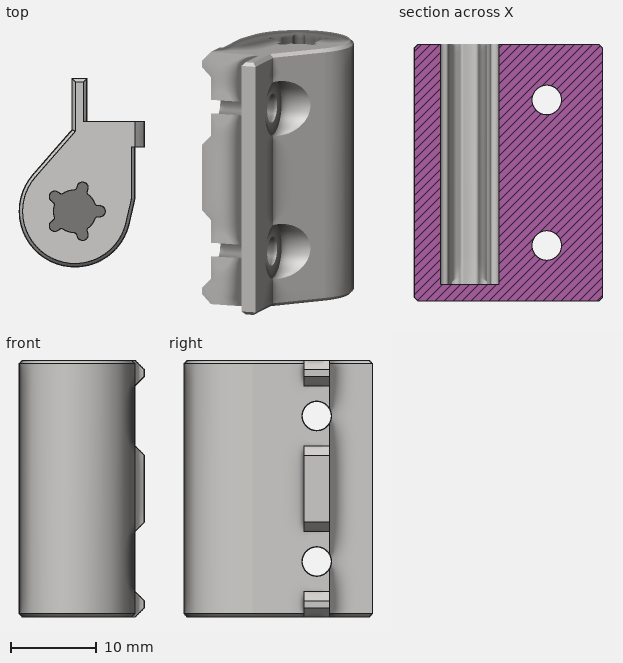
import cadquery as cq
import math

height = 30.0
edge_chamfer = 0.4

barrel_radius = 6.51
body_right = 7.02
body_back = 10.5
flank_start_y = 1.5

flange_left = -0.34
flange_thickness = 1.75
flange_right = flange_left + flange_thickness
flange_back = 15.51
flange_foot_y = 9.5

tooth_front = 7.5
tooth_depth = body_back - tooth_front
tooth_projection = 1.09
end_tooth_length = 3.0
middle_tooth_length = 10.0

screw_hole_diameter = 3.4
counterbore_diameter = 6.5
counterbore_depth = 0.3
counterbore_floor_x = flange_left + counterbore_depth
screw_y = 9.0
screw_spacing = 17.0

bore_floor = 2.0
bore_depth = height - bore_floor
bore_radius = 2.5
lobe_count = 5
lobe_center_radius = 2.9
lobe_radius = 0.65
bore_corner_radius = 0.35


def tangent_point(x, y, side):
    """Point where a line from (x, y) touches the barrel; side is +1 (counterclockwise) or -1."""
    angle = math.atan2(y, x) + side * math.acos(barrel_radius / math.hypot(x, y))
    return barrel_radius * math.cos(angle), barrel_radius * math.sin(angle)


def make_body():
    """Barrel, shoulder and flange in one outline, chamfered round both ends."""
    left_tangent = tangent_point(flange_left, flange_foot_y, 1)
    right_tangent = tangent_point(body_right, flank_start_y, -1)
    return (
        cq.Workplane("XY")
        .moveTo(flange_left, flange_back)
        .lineTo(flange_left, flange_foot_y)
        .lineTo(*left_tangent)
        .threePointArc((0, -barrel_radius), right_tangent)
        .lineTo(body_right, flank_start_y)
        .lineTo(body_right, body_back)
        .lineTo(flange_right, body_back)
        .lineTo(flange_right, flange_back)
        .close()
        .extrude(height)
        .faces("<Z or >Z")
        .chamfer(edge_chamfer)
    )


def make_shoulder():
    """Full-height block that keeps the shoulder's end edges sharp."""
    left = flange_right - edge_chamfer
    block = cq.Workplane("XY").box(body_right - left, tooth_depth, height, centered=False)
    return block.translate((left, tooth_front, 0))


def make_tooth(bottom, length):
    """Trapezoidal tooth with 45 degree ends."""
    tip = body_right + tooth_projection
    top = bottom + length
    return (
        cq.Workplane("XZ", origin=(0, body_back, 0))
        .moveTo(body_right, bottom)
        .lineTo(tip, bottom + tooth_projection)
        .lineTo(tip, top - tooth_projection)
        .lineTo(body_right, top)
        .close()
        .extrude(tooth_depth)
    )


def make_bore():
    """Round core with round-ended lobes and rounded corners where they meet."""
    bore = cq.Workplane("XY").circle(bore_radius).extrude(bore_depth)
    for index in range(lobe_count):
        slot = (
            cq.Workplane("XY")
            .rect(lobe_center_radius, 2 * lobe_radius)
            .extrude(bore_depth)
            .translate((lobe_center_radius / 2, 0, 0))
        )
        tip = cq.Workplane("XY").center(lobe_center_radius, 0).circle(lobe_radius).extrude(bore_depth)
        lobe = slot.union(tip)
        bore = bore.union(lobe.rotate((0, 0, 0), (0, 0, 1), index * 360 / lobe_count))
    neck_radius = bore_radius + bore_corner_radius
    neck_edges = bore.edges("|Z").filter(
        lambda edge: math.hypot(edge.Center().x, edge.Center().y) < neck_radius
    )
    rounded_bore = neck_edges.fillet(bore_corner_radius)
    return rounded_bore.translate((0, 0, bore_floor))


def make_screw_cut(z):
    """Through hole with a counterbore that clears everything to its left."""
    hole_length = body_right + tooth_projection - counterbore_floor_x
    hole = (
        cq.Workplane("YZ", origin=(counterbore_floor_x, screw_y, z))
        .circle(screw_hole_diameter / 2)
        .extrude(hole_length)
    )
    counterbore = (
        cq.Workplane("YZ", origin=(counterbore_floor_x, screw_y, z))
        .circle(counterbore_diameter / 2)
        .extrude(-(counterbore_floor_x + barrel_radius))
    )
    return hole.union(counterbore)


result = make_body().union(make_shoulder())

teeth = (
    (0, end_tooth_length),
    ((height - middle_tooth_length) / 2, middle_tooth_length),
    (height - end_tooth_length, end_tooth_length),
)
for tooth_bottom, tooth_length in teeth:
    result = result.union(make_tooth(tooth_bottom, tooth_length))

result = result.cut(make_bore())

for direction in (-1, 1):
    result = result.cut(make_screw_cut(height / 2 + direction * screw_spacing / 2))